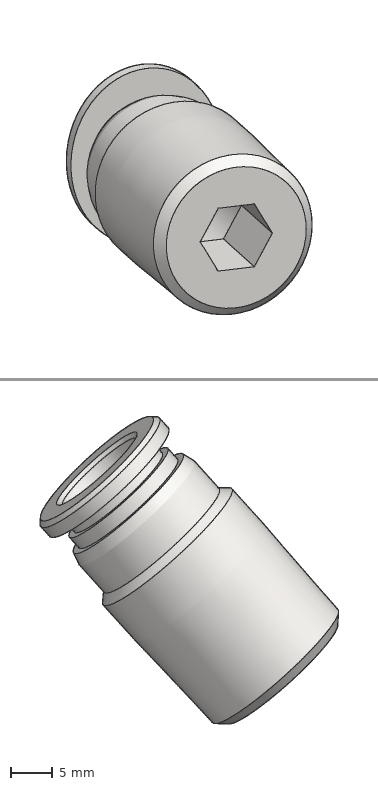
import cadquery as cq
import math

total_length = 33.8
collar_height = 22.5
collar_width = 19.4
collar_thickness = 2.23
collar_chamfer = 0.57

neck_diameter = 14.3
neck_end = 3.95
shoulder_diameter = 16.05
shoulder_end = 5.75

nose_tip_diameter = 17.85
nose_diameter = 18.75
nose_cone_end = 7.3
nose_end = 11.83
body_diameter = 21.0
body_start = 12.88
taper_start = 18.83
taper_end_diameter = 20.45
end_chamfer = 1.2

bore_diameter = 12.0
bore_chamfer = 0.5
bore_depth = 23.0
hex_sides = 6
hex_across_flats = 8.05


def make_collar():
    """Oval flange with a chamfered front rim."""
    return (
        cq.Workplane("YZ")
        .ellipse(collar_width / 2, collar_height / 2)
        .extrude(collar_thickness)
        .faces("<X")
        .chamfer(collar_chamfer)
    )


def make_turned_body():
    """Sleeve, stepped nose and tapered body, revolved about X."""
    taper_end = total_length - end_chamfer
    profile = [
        (collar_thickness, 0),
        (collar_thickness, neck_diameter / 2),
        (neck_end, neck_diameter / 2),
        (neck_end, shoulder_diameter / 2),
        (shoulder_end, shoulder_diameter / 2),
        (shoulder_end, nose_tip_diameter / 2),
        (nose_cone_end, nose_diameter / 2),
        (nose_end, nose_diameter / 2),
        (body_start, body_diameter / 2),
        (taper_start, body_diameter / 2),
        (taper_end, taper_end_diameter / 2),
        (total_length, taper_end_diameter / 2 - end_chamfer),
        (total_length, 0),
    ]
    outline = cq.Workplane("XY").polyline(profile).close()
    return outline.revolve(360, (0, 0, 0), (1, 0, 0))


def make_tube_bore():
    """Blind round bore with a chamfered mouth."""
    mouth_radius = bore_diameter / 2 + bore_chamfer
    outline = (
        cq.Workplane("XY")
        .lineTo(0, mouth_radius)
        .lineTo(bore_chamfer, bore_diameter / 2)
        .lineTo(bore_depth, bore_diameter / 2)
        .lineTo(bore_depth, 0)
        .close()
    )
    return outline.revolve(360, (0, 0, 0), (1, 0, 0))


def make_hex_passage():
    """Hexagonal passage through the full length, two corners level with the axis."""
    across_corners = hex_across_flats / math.cos(math.pi / hex_sides)
    return (
        cq.Workplane("YZ")
        .polygon(hex_sides, across_corners)
        .extrude(total_length)
    )


result = (
    make_collar()
    .union(make_turned_body())
    .cut(make_tube_bore())
    .cut(make_hex_passage())
)